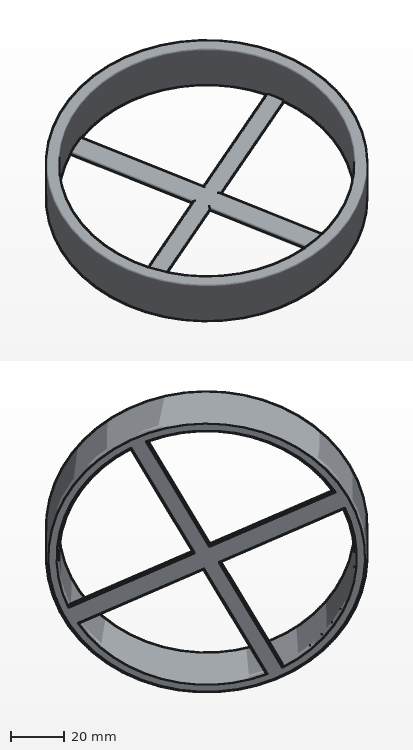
import cadquery as cq
import math

outer_radius = 121.0 / 2
inner_radius = 111.0 / 2
ring_height = 22.0
edge_radius = 1.0
bottom_chamfer = 1.0

bar_thickness = 1.9
x_bar_width = 8.7
y_bar_width = 7.3
bar_edge_radius = 0.8
bar_chamfer = 0.5

bar_length = outer_radius + inner_radius

turn_angle = math.radians(45)
arc_tangent = edge_radius * math.tan(turn_angle / 2)
arc_top = bottom_chamfer + arc_tangent
arc_bottom = bottom_chamfer - arc_tangent * math.cos(turn_angle)
arc_bottom_inset = arc_tangent * math.sin(turn_angle)
arc_middle = arc_top - edge_radius * math.sin(turn_angle / 2)
arc_middle_inset = edge_radius * (1 - math.cos(turn_angle / 2))


def make_ring():
    """Ring with rounded top rims and eased chamfers on the bottom rims."""
    profile = (
        cq.Workplane("XZ")
        .moveTo(inner_radius + bottom_chamfer, 0)
        .lineTo(outer_radius - bottom_chamfer, 0)
        .lineTo(outer_radius - arc_bottom_inset, arc_bottom)
        .threePointArc((outer_radius - arc_middle_inset, arc_middle), (outer_radius, arc_top))
        .lineTo(outer_radius, ring_height)
        .lineTo(inner_radius, ring_height)
        .lineTo(inner_radius, arc_top)
        .threePointArc(
            (inner_radius + arc_middle_inset, arc_middle),
            (inner_radius + arc_bottom_inset, arc_bottom),
        )
        .close()
    )
    ring = profile.revolve(360, (0, 0, 0), (0, 1, 0))
    return ring.faces(">Z").edges().fillet(edge_radius)


def make_bar(size_x, size_y, long_axis):
    """Flat bar with rounded upper and chamfered lower long edges."""
    bar = cq.Workplane("XY").box(size_x, size_y, bar_thickness, centered=(True, True, False))
    bar = bar.faces(">Z").edges("|" + long_axis).fillet(bar_edge_radius)
    return bar.faces("<Z").edges("|" + long_axis).chamfer(bar_chamfer)


x_bar = make_bar(bar_length, x_bar_width, "X")
y_bar = make_bar(y_bar_width, bar_length, "Y")

result = make_ring().union(x_bar).union(y_bar)